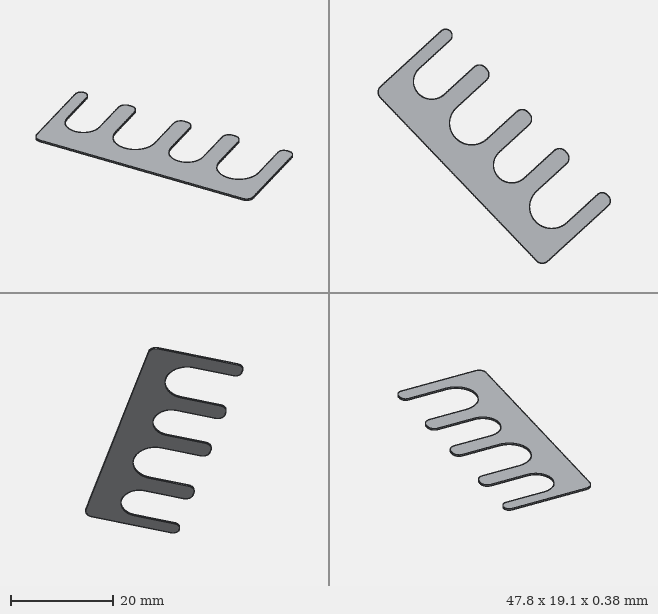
import cadquery as cq
import math

length = 47.752
depth = 19.05
thickness = 0.381
corner_radius = 1.524

slot_pitch = 11.43
slot_widths = [7.112, 8.636, 7.112, 8.636]
slot_end_center_y = depth / 2

first_finger_width = 2.54
outer_tip_radius = first_finger_width / 2
inner_tip_radius = 1.524

first_slot_x = first_finger_width + slot_widths[0] / 2
slots = [(first_slot_x + index * slot_pitch, width) for index, width in enumerate(slot_widths)]

arc_middle = math.sqrt(0.5)
flat_tolerance = 1e-6


def add_fingertip(outline, x_left, x_right, radius):
    """Go up the left side of a finger, round its tip, and stop where its right side begins."""
    shoulder_y = depth - radius
    left_center_x = x_left + radius
    right_center_x = x_right - radius
    arc_middle_y = shoulder_y + radius * arc_middle

    outline = outline.lineTo(x_left, shoulder_y)
    outline = outline.threePointArc(
        (left_center_x - radius * arc_middle, arc_middle_y),
        (left_center_x, depth),
    )
    if right_center_x - left_center_x > flat_tolerance:
        outline = outline.lineTo(right_center_x, depth)
    return outline.threePointArc(
        (right_center_x + radius * arc_middle, arc_middle_y),
        (x_right, shoulder_y),
    )


def add_slot(outline, center_x, width):
    """Go down the left side of a slot and around its semicircular end."""
    radius = width / 2
    outline = outline.lineTo(center_x - radius, slot_end_center_y)
    return outline.threePointArc(
        (center_x, slot_end_center_y - radius),
        (center_x + radius, slot_end_center_y),
    )


def comb_outline():
    """Closed outline of the comb with square corners along its -Y edge."""
    outline = cq.Workplane("XY").moveTo(0, 0)
    finger_left = 0
    for index, (center_x, width) in enumerate(slots):
        tip_radius = outer_tip_radius if index == 0 else inner_tip_radius
        outline = add_fingertip(outline, finger_left, center_x - width / 2, tip_radius)
        outline = add_slot(outline, center_x, width)
        finger_left = center_x + width / 2
    outline = add_fingertip(outline, finger_left, length, outer_tip_radius)
    return outline.lineTo(length, 0).close()


comb = comb_outline().extrude(thickness)

result = comb.edges("|Z and <Y").fillet(corner_radius)